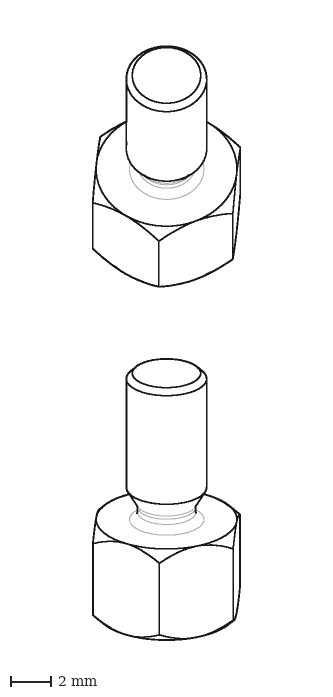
import cadquery as cq
import math

across_flats = 7.0
across_corners = across_flats / math.cos(math.radians(30))
body_height = 5.0
corner_chamfer_angle = 45.0

stud_diameter = 4.0
total_height = 13.0
tip_chamfer = 0.3

neck_diameter = 2.9
neck_fillet = 0.4
undercut_length = 1.75
taper_angle = 30.0


def make_body():
    """Hexagonal prism with its corners turned down to the across-flats circle at both ends."""
    hexagon = cq.Workplane("XY").polygon(6, across_corners).extrude(body_height)
    flat_radius = across_flats / 2
    corner_radius = across_corners / 2
    chamfer_height = (corner_radius - flat_radius) * math.tan(math.radians(corner_chamfer_angle))
    turned_blank = (
        cq.Workplane("XZ")
        .moveTo(0, 0)
        .lineTo(flat_radius, 0)
        .lineTo(corner_radius, chamfer_height)
        .lineTo(corner_radius, body_height - chamfer_height)
        .lineTo(flat_radius, body_height)
        .lineTo(0, body_height)
        .close()
        .revolve(360, (0, 0, 0), (0, 1, 0))
    )
    return hexagon.intersect(turned_blank)


def make_stud():
    """Chamfered stud with a filleted neck and a conical run-out, turned about Z."""
    stud_radius = stud_diameter / 2
    neck_radius = neck_diameter / 2
    taper = math.radians(taper_angle)
    taper_top = body_height + undercut_length
    taper_bottom = taper_top - (stud_radius - neck_radius) / math.tan(taper)

    tangent_length = neck_fillet * math.tan(taper / 2)
    fillet_start = (neck_radius, taper_bottom - tangent_length)
    fillet_end = (
        neck_radius + tangent_length * math.sin(taper),
        taper_bottom + tangent_length * math.cos(taper),
    )

    return (
        cq.Workplane("XZ")
        .moveTo(0, body_height)
        .lineTo(neck_radius + neck_fillet, body_height)
        .radiusArc((neck_radius, body_height + neck_fillet), neck_fillet)
        .lineTo(*fillet_start)
        .radiusArc(fillet_end, neck_fillet)
        .lineTo(stud_radius, taper_top)
        .lineTo(stud_radius, total_height - tip_chamfer)
        .lineTo(stud_radius - tip_chamfer, total_height)
        .lineTo(0, total_height)
        .close()
        .revolve(360, (0, 0, 0), (0, 1, 0))
    )


result = make_body().union(make_stud())